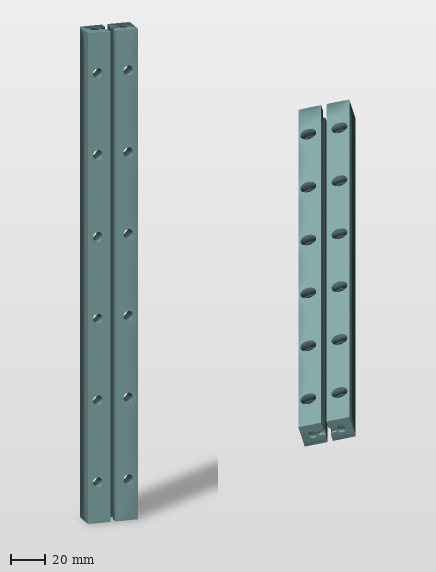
import cadquery as cq


RAIL_LENGTH = 300.0
RAIL_HEIGHT = 15.0
PAIR_WIDTH = 31.0
RAIL_GAP = 3.3
RAIL_WIDTH = (PAIR_WIDTH - RAIL_GAP) / 2
OUTER_FACE_Y = PAIR_WIDTH / 2
INNER_FACE_Y = RAIL_GAP / 2
END_FACE_Z = RAIL_LENGTH / 2
COUNTERBORE_FACE_X = -RAIL_HEIGHT / 2

GROOVE_WIDTH = 5.5
RELIEF_WIDTH = 2.7
RELIEF_DEPTH = 4.0

MOUNT_COUNT = 6
MOUNT_PITCH = RAIL_LENGTH / MOUNT_COUNT
MOUNT_DIAMETER = 6.0
COUNTERBORE_DIAMETER = 9.5
COUNTERBORE_DEPTH = 5.0
MOUNT_FROM_OUTER_FACE = 6.0
MOUNT_Y = OUTER_FACE_Y - MOUNT_FROM_OUTER_FACE

END_HOLE_DIAMETER = 5.0
END_HOLE_DEPTH = 9.0
END_HOLE_Y = 8.7


def rail_blank():
    """Plain bar on the +Y side of the gap."""
    center_y = (INNER_FACE_Y + OUTER_FACE_Y) / 2
    return cq.Workplane("XY", origin=(0, center_y, 0)).box(RAIL_HEIGHT, RAIL_WIDTH, RAIL_LENGTH)


def raceway_cutter():
    """V groove and relief slot along the whole inner face."""
    half_groove = GROOVE_WIDTH / 2
    half_relief = RELIEF_WIDTH / 2
    relief_start = half_groove - half_relief
    return (
        cq.Workplane("XY", origin=(0, INNER_FACE_Y, -END_FACE_Z))
        .moveTo(-half_groove, 0)
        .lineTo(-half_relief, relief_start)
        .lineTo(-half_relief, RELIEF_DEPTH)
        .lineTo(half_relief, RELIEF_DEPTH)
        .lineTo(half_relief, relief_start)
        .lineTo(half_groove, 0)
        .close()
        .extrude(RAIL_LENGTH)
    )


def mount_hole_cutter(z):
    """Through hole at height z, counterbored from the -X face."""
    entry = cq.Workplane("YZ", origin=(COUNTERBORE_FACE_X, MOUNT_Y, z))
    bore = entry.circle(MOUNT_DIAMETER / 2).extrude(RAIL_HEIGHT)
    counterbore = entry.circle(COUNTERBORE_DIAMETER / 2).extrude(COUNTERBORE_DEPTH)
    return bore.union(counterbore)


def end_hole_cutter():
    """Blind hole with a conical bottom, going down from the top end face."""
    radius = END_HOLE_DIAMETER / 2
    bottom_z = END_FACE_Z - END_HOLE_DEPTH
    return (
        cq.Workplane("XZ", origin=(0, END_HOLE_Y, 0))
        .moveTo(0, END_FACE_Z)
        .lineTo(radius, END_FACE_Z)
        .lineTo(radius, bottom_z)
        .lineTo(0, bottom_z - radius)
        .close()
        .revolve(360, (0, 0, 0), (0, 1, 0))
    )


def make_rail():
    """Finished rail on the +Y side."""
    body = rail_blank().cut(raceway_cutter())
    first_z = -END_FACE_Z + MOUNT_PITCH / 2
    for index in range(MOUNT_COUNT):
        body = body.cut(mount_hole_cutter(first_z + index * MOUNT_PITCH))
    top_hole = end_hole_cutter()
    bottom_hole = top_hole.mirror("XY")
    return body.cut(top_hole).cut(bottom_hole)


rails = []
for is_mirrored in (False, True):
    rail = make_rail()
    if is_mirrored:
        rail = rail.mirror("XZ")
    rails.append(rail.solids().val())

result = cq.Compound.makeCompound(rails)